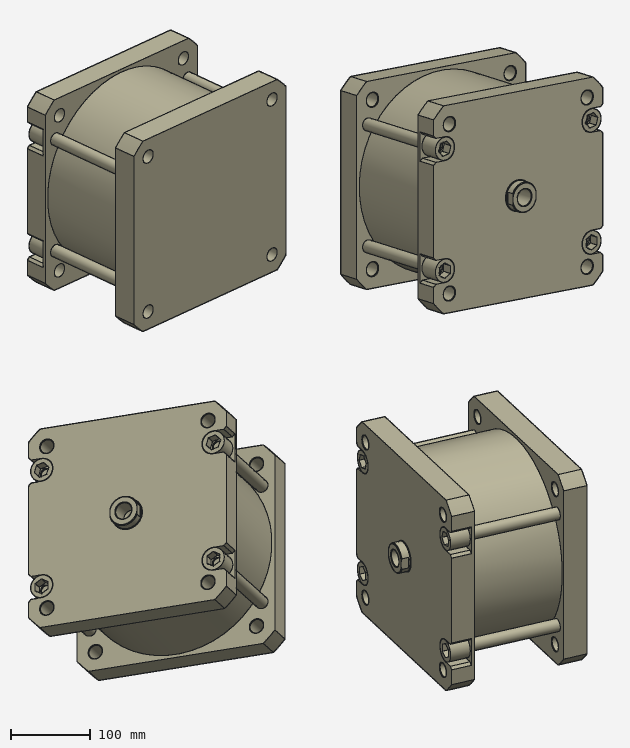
import cadquery as cq
import math

plate_side = 270.0
front_plate_thickness = 32.0
rear_plate_thickness = 33.0
plate_corner_diameter = 360.2
mount_hole_diameter = 18.0
mount_hole_chamfer = 0.8
countersink_angle = 90.0
mount_hole_offset = 110.0

barrel_diameter = 262.0
barrel_length = 125.0
rear_plate_x = front_plate_thickness + barrel_length

bolt_y = 117.2
bolt_z = 79.0
bolt_rod_diameter = 16.7
bolt_head_diameter = 30.0
bolt_head_height = 27.5
socket_sides = 6
socket_across_flats = 17.3
socket_depth = 13.5
socket_core_diameter = 13.8
socket_core_depth = 2.7
upper_socket_turn = 13.0
lower_socket_turn = 30.0

slot_width = 31.0
slot_mouth_chamfer = 3.5

rod_diameter = 41.0
nose_diameter = 39.5
nose_length = 13.0
nose_chamfer = 1.0
flat_spacing = 36.5
flat_length = 10.3
rod_bore_diameter = 22.0
rod_bore_chamfer = 0.8
rod_bore_depth = 27.0
rod_tip_angle = 118.0


def x_cylinder(diameter, start_x, length, y=0.0, z=0.0):
    """Solid cylinder along X."""
    return cq.Workplane("YZ", origin=(start_x, y, z)).circle(diameter / 2).extrude(length)


def make_blank_plate(start_x, thickness):
    """Square plate with turned corners and four mounting holes chamfered on the front face."""
    plate = cq.Workplane("YZ", origin=(start_x, 0, 0)).rect(plate_side, plate_side).extrude(thickness)
    plate = plate.intersect(x_cylinder(plate_corner_diameter, start_x, thickness))
    hole_spacing = 2 * mount_hole_offset
    rim_diameter = mount_hole_diameter + 2 * mount_hole_chamfer
    return (
        plate.faces("<X")
        .workplane(origin=(start_x, 0, 0))
        .rect(hole_spacing, hole_spacing, forConstruction=True)
        .vertices()
        .cskHole(mount_hole_diameter, rim_diameter, countersink_angle)
    )


def head_slot(y_side, z_side):
    """Round-ended slot, open to the side, with a chamfered mouth."""
    half_width = slot_width / 2
    edge = plate_side / 2
    mouth_start = edge - slot_mouth_chamfer
    half_mouth = half_width + slot_mouth_chamfer
    slot = (
        cq.Workplane("YZ")
        .moveTo(bolt_y, half_width)
        .threePointArc((bolt_y - half_width, 0), (bolt_y, -half_width))
        .lineTo(mouth_start, -half_width)
        .lineTo(edge, -half_mouth)
        .lineTo(edge, half_mouth)
        .lineTo(mouth_start, half_width)
        .close()
        .extrude(bolt_head_height)
    )
    if y_side < 0:
        slot = slot.mirror("XZ")
    return slot.translate((0, 0, z_side * bolt_z))


def make_front_plate():
    """Front plate with the bolt head slots, the bolt holes and the piston rod hole."""
    plate = make_blank_plate(0, front_plate_thickness)
    for y_side in (-1, 1):
        for z_side in (-1, 1):
            plate = plate.cut(head_slot(y_side, z_side))
            plate = plate.cut(x_cylinder(bolt_rod_diameter, 0, front_plate_thickness,
                                         y_side * bolt_y, z_side * bolt_z))
    return plate.cut(x_cylinder(rod_diameter, 0, front_plate_thickness))


def make_bolt(y_side, z_side):
    """Socket-head tie bolt: head sunk flush in its slot, rod ending at the rear plate."""
    y = y_side * bolt_y
    z = z_side * bolt_z
    bolt = x_cylinder(bolt_head_diameter, 0, bolt_head_height, y, z)
    bolt = bolt.union(x_cylinder(bolt_rod_diameter, 0, rear_plate_x, y, z))
    turn = upper_socket_turn if z_side > 0 else lower_socket_turn
    across_corners = socket_across_flats / math.cos(math.pi / socket_sides)
    socket = cq.Workplane("YZ").polygon(socket_sides, across_corners).extrude(socket_depth)
    socket = socket.rotate((0, 0, 0), (1, 0, 0), -turn).translate((0, y, z))
    core = x_cylinder(socket_core_diameter, 0, socket_depth + socket_core_depth, y, z)
    return bolt.cut(socket).cut(core)


def make_rod_bore():
    """Blind bore in the nose, with a chamfered rim and a drill point."""
    radius = rod_bore_diameter / 2
    tip_length = radius / math.tan(math.radians(rod_tip_angle / 2))
    straight_end = rod_bore_depth - nose_length
    profile = [
        (-nose_length, 0),
        (-nose_length, radius + rod_bore_chamfer),
        (rod_bore_chamfer - nose_length, radius),
        (straight_end, radius),
        (straight_end + tip_length, 0),
    ]
    return cq.Workplane("XY").polyline(profile).close().revolve(360, (0, 0, 0), (1, 0, 0))


def make_piston_rod():
    """Rod with a conical shoulder, a nose with two wrench flats and a blind bore."""
    rod_radius = rod_diameter / 2
    nose_radius = nose_diameter / 2
    profile = [
        (-nose_length, 0),
        (-nose_length, nose_radius - nose_chamfer),
        (nose_chamfer - nose_length, nose_radius),
        (nose_radius - rod_radius, nose_radius),
        (0, rod_radius),
        (front_plate_thickness, rod_radius),
        (front_plate_thickness, 0),
    ]
    rod = cq.Workplane("XY").polyline(profile).close().revolve(360, (0, 0, 0), (1, 0, 0))
    for y_side in (-1, 1):
        flat_cutter = cq.Workplane("XY").box(flat_length, nose_diameter, nose_diameter).translate(
            (flat_length / 2 - nose_length, y_side * (flat_spacing + nose_diameter) / 2, 0))
        rod = rod.cut(flat_cutter)
    return rod.cut(make_rod_bore())


front_plate = make_front_plate()
rear_plate = make_blank_plate(rear_plate_x, rear_plate_thickness)
barrel = x_cylinder(barrel_diameter, front_plate_thickness, barrel_length)
piston_rod = make_piston_rod()
bolts = []
for y_side in (-1, 1):
    for z_side in (-1, 1):
        bolts.append(make_bolt(y_side, z_side).val())

result = cq.Compound.makeCompound(
    [front_plate.val(), rear_plate.val(), barrel.val(), piston_rod.val(), *bolts])